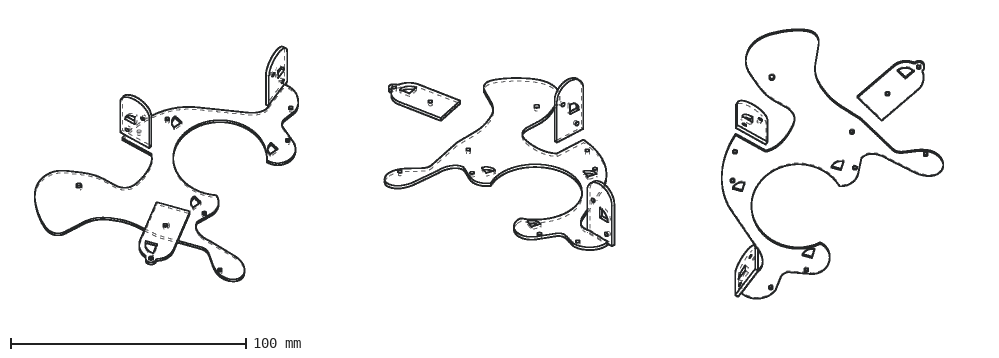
import cadquery as cq
import math

sheet = 1.5
small_hole_radius = 0.9
bore_radius = 20.0

base_window_radius = 4.2
tab_window_radius = 5.0

tab_width = 15.0
tab_length = 28.8
upright_window_height = 11.3
upright_hole_offset = 4.0
upright_hole_rise = 7.0
arm_hole_height = 10.4
arm_window_height = 21.0
ear_radius = 2.3
ear_blend_radius = 0.8

north_foot = (-11.5, 40.8, 0.5)
north_angle = -72
west_foot = (-27.5, -24.2, 7.2)
west_angle = 15
arm_foot = (18.9, -42.7, 21.8)
arm_angle = 30

head_setback = 2.5
lobe_distance = 25.0
lobe_angle = 60
lobe_radius = 7.6
upper_lobe_start = 81
lower_lobe_end = -10
grip_hole = (-28.2, -55.1)
grip_hole_radius = 1.2
base_holes = [
    (-0.3, 40.0), (11.8, 27.8), (-30.3, -3.6), (-33.2, -17.0),
    (17.9, -24.3), (11.8, -40.2), (44.9, -39.0),
]


def polar(radius, degrees):
    """Point at a radius and angle about the bore centre."""
    angle = math.radians(degrees)
    return (radius * math.cos(angle), radius * math.sin(angle))


def quarter_window(plane, corner, radius, start_degrees):
    """Cutter with a quarter-circle section that sweeps 90 degrees from the start angle."""
    def rim(turn):
        step = polar(radius, start_degrees + turn)
        return (corner[0] + step[0], corner[1] + step[1])

    return (
        cq.Workplane(plane).moveTo(*corner).lineTo(*rim(0))
        .threePointArc(rim(45), rim(90)).close()
        .extrude(sheet, both=True)
    )


def round_cutter(plane, centres, radius):
    """Cutter for round holes through a sheet."""
    return cq.Workplane(plane).pushPoints(centres).circle(radius).extrude(sheet, both=True)


def foot_plane(foot, angle, upright):
    """Plane of a tab's outer face: x runs along the foot and y toward the round end."""
    along_foot = (*polar(1, angle), 0)
    normal = (*polar(1, angle - 90), 0) if upright else (0, 0, -1)
    return cq.Plane(origin=foot, xDir=along_foot, normal=normal)


def tab_blank(plane):
    """Round-ended sheet that lies behind the given outer face."""
    half = tab_width / 2
    shoulder = tab_length - half
    return (
        cq.Workplane(plane).moveTo(-half, 0).lineTo(half, 0).lineTo(half, shoulder)
        .threePointArc((0, tab_length), (-half, shoulder)).close()
        .extrude(-sheet)
    )


def make_upright(plane):
    """Standing tab with a window and two holes diagonal about its corner."""
    holes = [
        (side * upright_hole_offset, upright_window_height + side * upright_hole_rise)
        for side in (-1, 1)
    ]
    window = quarter_window(plane, (0, upright_window_height), tab_window_radius, 90)
    return tab_blank(plane).cut(window).cut(round_cutter(plane, holes, small_hole_radius))


def make_arm(plane):
    """Level tab with a drilled ear blended onto its round end."""
    ear = cq.Workplane(plane).center(0, tab_length).circle(ear_radius).extrude(-sheet)
    end_radius = tab_width / 2
    corner_drop = ear_radius**2 / (2 * end_radius)
    corner_side = math.sqrt(ear_radius**2 - corner_drop**2)
    blank = tab_blank(plane).union(ear)
    for side in (-1, 1):
        corner = plane.toWorldCoords((side * corner_side, tab_length - corner_drop, -sheet / 2))
        blank = blank.edges(cq.selectors.NearestToPointSelector(corner.toTuple())).fillet(ear_blend_radius)
    holes = [(0, arm_hole_height), (0, tab_length)]
    window = quarter_window(plane, (0, arm_window_height), tab_window_radius, 90)
    return blank.cut(window).cut(round_cutter(plane, holes, small_hole_radius))


def inner_foot_point(plane, offset):
    """Plan position on the inner face of a foot, at an offset from its middle."""
    point = plane.toWorldCoords((offset, 0, -sheet))
    return (point.x, point.y)


def make_base(north_plane, west_plane):
    """Flat plate around the open bore, with a head, a grip and a finger rest."""
    half_foot = tab_width / 2
    north_start = inner_foot_point(north_plane, head_setback - half_foot)
    north_end = inner_foot_point(north_plane, half_foot)
    west_start = inner_foot_point(west_plane, half_foot)
    west_end = inner_foot_point(west_plane, -half_foot)

    lobe_x, lobe_y = polar(lobe_distance, lobe_angle)

    def lobe_rim(centre_y, degrees):
        step = polar(lobe_radius, degrees)
        return (lobe_x + step[0], centre_y + step[1])

    upper_join = lobe_rim(lobe_y, upper_lobe_start)
    lower_middle = lobe_rim(-lobe_y, lower_lobe_end + 45)
    lower_join = lobe_rim(-lobe_y, lower_lobe_end)

    chord = (bore_radius**2 + lobe_distance**2 - lobe_radius**2) / (2 * lobe_distance)
    mouth_turn = math.degrees(math.acos(chord / bore_radius))
    mouth_x, mouth_y = polar(bore_radius, lobe_angle - mouth_turn)

    outline = (
        cq.Workplane("XY").moveTo(*north_start)
        .spline([(-8.9, 47.0), (-6.5, 47.1), (-0.8, 44.7), (2.0, 40.4)], includeCurrent=True)
        .lineTo(2.5, 33.7)
        .spline([(3.5, 31.8), (5.5, 30.8)], includeCurrent=True)
        .lineTo(*upper_join)
        .threePointArc((lobe_x + lobe_radius, lobe_y), (mouth_x, mouth_y))
        .threePointArc((-bore_radius, 0), (mouth_x, -mouth_y))
        .threePointArc(lower_middle, lower_join)
        .lineTo(19.3, -29.5)
        .spline([(20.9, -31.7), (25.0, -33.1), (30.1, -32.3)], includeCurrent=True)
        .lineTo(43.0, -29.5)
        .spline(
            [(46.6, -29.2), (51.5, -30.8), (53.8, -35.0), (51.5, -39.0), (46.6, -40.7),
             (42.1, -39.9), (37.0, -37.6), (33.3, -36.4), (30.5, -37.2)],
            includeCurrent=True,
        )
        .lineTo(13.8, -46.9)
        .spline(
            [(5.1, -49.7), (-0.6, -52.1), (-5.8, -55.7), (-10.7, -61.5), (-12.4, -67.3),
             (-13.1, -73.8), (-13.9, -77.1), (-16.5, -79.8), (-22.7, -79.8), (-31.7, -76.1),
             (-39.5, -69.3), (-41.5, -62.8), (-40.4, -57.7), (-35.0, -51.7), (-28.2, -46.6),
             (-20.7, -44.0), (-15.6, -42.1), (-13.3, -38.9), (-13.1, -35.0), (-14.3, -29.7),
             (-16.9, -24.3), west_start],
            includeCurrent=True,
        )
        .lineTo(*west_end)
        .spline([(-36.5, -13.9), (-35.9, -7.1), (-33.1, 1.7), (-27.2, 9.7)], includeCurrent=True)
        .lineTo(-10.3, 24.7)
        .spline([(-7.5, 28.5), (-6.8, 32.3), north_end], includeCurrent=True)
        .close()
    )
    base = outline.extrude(sheet)
    plan = cq.Plane.XY()
    for angle in (lobe_angle, 180, -lobe_angle):
        base = base.cut(quarter_window(plan, polar(lobe_distance, angle), base_window_radius, 180))
    base = base.cut(round_cutter(plan, base_holes, small_hole_radius))
    return base.cut(round_cutter(plan, [grip_hole], grip_hole_radius))


north_plane = foot_plane(north_foot, north_angle, upright=True)
west_plane = foot_plane(west_foot, west_angle, upright=True)
arm_plane = foot_plane(arm_foot, arm_angle, upright=False)

base = make_base(north_plane, west_plane)
uprights = [make_upright(plane) for plane in (north_plane, west_plane)]
arm = make_arm(arm_plane)

result = cq.Compound.makeCompound([base.val(), *[upright.val() for upright in uprights], arm.val()])